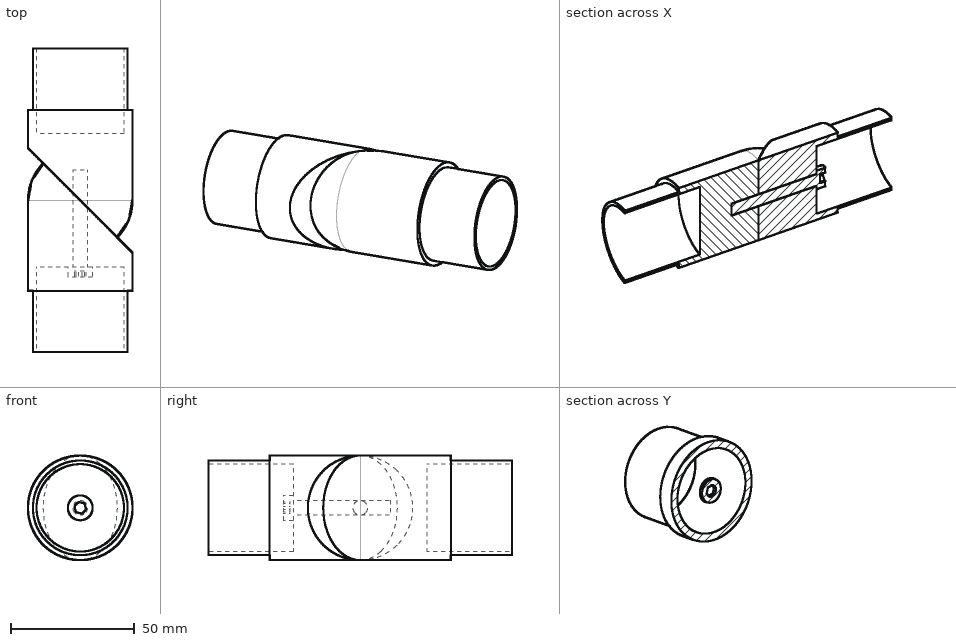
import cadquery as cq

total_length = 122.9
body_diameter = 42.4
spigot_diameter = 38.3
spigot_length = 24.8
bore_diameter = 35.4
bore_depth = 34.4
joint_angle = 45.0

head_diameter = 10.1
head_height = 3.9
shank_diameter = 5.9
shank_reach = 12.3
socket_corner_diameter = 4.9
socket_depth = 2.5
socket_turn = 45.0

half_length = total_length / 2
body_radius = body_diameter / 2
shoulder_distance = half_length - spigot_length
floor_distance = half_length - bore_depth


def rod(diameter, y_start, y_end):
    """Round bar along Y, running from y_start up to y_end."""
    plane = cq.Workplane("XZ", origin=(0, y_start, 0))
    return plane.circle(diameter / 2).extrude(y_start - y_end)


def make_shank():
    return rod(shank_diameter, -floor_distance, shank_reach)


def make_joint_half():
    """Half at the -Y end: spigot, body and ball end, cut by the tilted mating face."""
    spigot = rod(spigot_diameter, -half_length, -shoulder_distance)
    body = rod(body_diameter, -shoulder_distance, 0)
    ball = cq.Workplane("XY").sphere(body_radius)
    kept_side = (
        cq.Workplane("XY")
        .box(2 * total_length, total_length, total_length, centered=(True, False, True))
        .translate((0, -total_length, 0))
        .rotate((0, 0, 0), (0, 0, 1), -joint_angle)
    )
    bore = rod(bore_diameter, -half_length, -floor_distance)
    return body.union(ball).intersect(kept_side).union(spigot).cut(bore)


def make_screw():
    """Socket screw: the head rests on the bore floor of the -Y half."""
    head_top = -floor_distance - head_height
    head = rod(head_diameter, head_top, -floor_distance)
    socket = (
        cq.Workplane("XZ", origin=(0, head_top, 0))
        .polygon(6, socket_corner_diameter)
        .extrude(-socket_depth)
        .rotate((0, 0, 0), (0, 1, 0), -socket_turn)
    )
    return head.union(make_shank()).cut(socket)


plain_half = make_joint_half()
near_half = plain_half.cut(make_shank())
far_half = plain_half.rotate((0, 0, 0), (0, 0, 1), 180).cut(make_shank())
screw = make_screw()

result = cq.Compound.makeCompound(
    [near_half.solids().val(), far_half.solids().val(), screw.solids().val()]
)